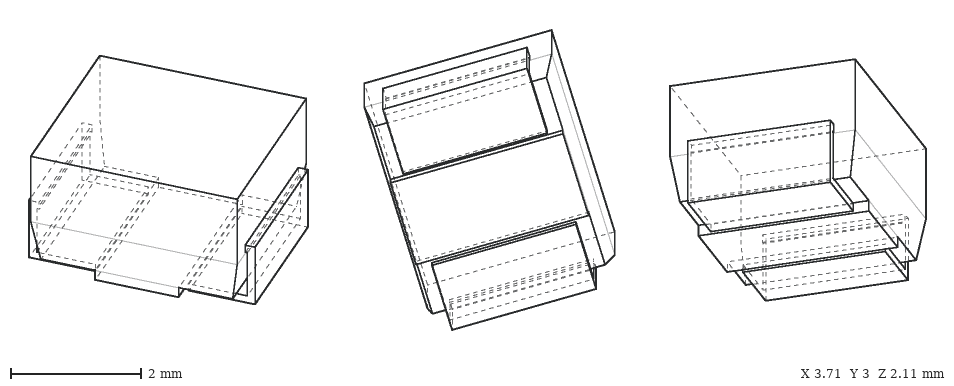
import cadquery as cq

overall_length = 3.71
overall_height = 2.11

housing_length = 3.387
housing_width = 3.0
taper_top = 0.913
taper_bottom = 0.178
taper_inset = 0.12
foot_length = 1.373

terminal_width = 2.308
terminal_height = 1.055
strip_thickness = 0.13
pad_length = 1.087

skirt_length = housing_length - 2 * taper_inset
skirt_width = housing_width - 2 * taper_inset
terminal_reach = (overall_length - housing_length) / 2


def make_housing():
    """Block with a skirt that narrows downward and a foot that reaches the seating plane."""
    block = (
        cq.Workplane("XY", origin=(0, 0, taper_top))
        .rect(housing_length, housing_width)
        .extrude(overall_height - taper_top)
    )
    skirt = (
        cq.Workplane("XY", origin=(0, 0, taper_bottom))
        .rect(skirt_length, skirt_width)
        .workplane(offset=taper_top - taper_bottom)
        .rect(housing_length, housing_width)
        .loft(ruled=True)
    )
    foot = cq.Workplane("XY").rect(foot_length, skirt_width).extrude(taper_bottom)
    return block.union(skirt).union(foot)


def make_terminal(side):
    """C-shaped strip: a tab against the housing, an upright and a pad. side is -1 or +1 along X."""
    outer_x = side * overall_length / 2
    inner_x = outer_x - side * strip_thickness
    tab_end_x = outer_x - side * terminal_reach
    pad_end_x = outer_x - side * pad_length
    tab_underside = terminal_height - strip_thickness
    return (
        cq.Workplane("XZ")
        .moveTo(outer_x, 0)
        .lineTo(outer_x, terminal_height)
        .lineTo(tab_end_x, terminal_height)
        .lineTo(tab_end_x, tab_underside)
        .lineTo(inner_x, tab_underside)
        .lineTo(inner_x, strip_thickness)
        .lineTo(pad_end_x, strip_thickness)
        .lineTo(pad_end_x, 0)
        .close()
        .extrude(terminal_width / 2, both=True)
    )


housing = make_housing()
terminals = [make_terminal(side) for side in (-1, 1)]

result = cq.Compound.makeCompound([housing.val(), *[terminal.val() for terminal in terminals]])